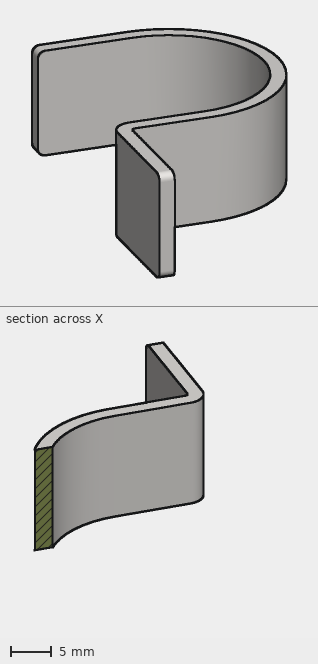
import cadquery as cq
import math

strip_thickness = 2.0
strip_width = 14.0
saddle_inner_radius = 12.5
leg_length = 12.5
overall_length = 44.0
bend_inner_radius = 0.5
corner_radius = 1.0
bend_half_angle = math.radians(45)

saddle_outer_radius = saddle_inner_radius + strip_thickness
bend_outer_radius = bend_inner_radius + strip_thickness
foot_bottom_y = -leg_length
foot_top_y = foot_bottom_y + strip_thickness
foot_end_x = overall_length - saddle_outer_radius
bend_center_x = saddle_outer_radius + bend_inner_radius
bend_center_y = foot_top_y + bend_inner_radius


def bend_midpoint(radius):
    """Middle of a bend arc, on the diagonal toward -X, -Y from its centre."""
    offset = radius * math.cos(bend_half_angle)
    return (bend_center_x - offset, bend_center_y - offset)


def make_bent_strip():
    """Saddle, two legs and one foot as a constant-thickness strip."""
    return (
        cq.Workplane("XY")
        .moveTo(-saddle_outer_radius, foot_bottom_y)
        .lineTo(-saddle_outer_radius, 0)
        .threePointArc((0, saddle_outer_radius), (saddle_outer_radius, 0))
        .lineTo(saddle_outer_radius, bend_center_y)
        .threePointArc(bend_midpoint(bend_inner_radius), (bend_center_x, foot_top_y))
        .lineTo(foot_end_x, foot_top_y)
        .lineTo(foot_end_x, foot_bottom_y)
        .lineTo(bend_center_x, foot_bottom_y)
        .threePointArc(bend_midpoint(bend_outer_radius), (saddle_inner_radius, bend_center_y))
        .lineTo(saddle_inner_radius, 0)
        .threePointArc((0, saddle_inner_radius), (-saddle_inner_radius, 0))
        .lineTo(-saddle_inner_radius, foot_bottom_y)
        .close()
        .extrude(strip_width / 2, both=True)
    )


def round_foot_end(strip):
    """Round the corners at the tip of the foot."""
    return strip.faces(">X").edges("|Y").fillet(corner_radius)


def round_leg_end(strip):
    """Round the corners at the tip of the free leg."""
    leg_tip_x = saddle_outer_radius - strip_thickness / 2
    leg_tip = strip.faces(cq.selectors.NearestToPointSelector((-leg_tip_x, foot_bottom_y, 0)))
    return leg_tip.edges("|X").fillet(corner_radius)


result = round_leg_end(round_foot_end(make_bent_strip()))